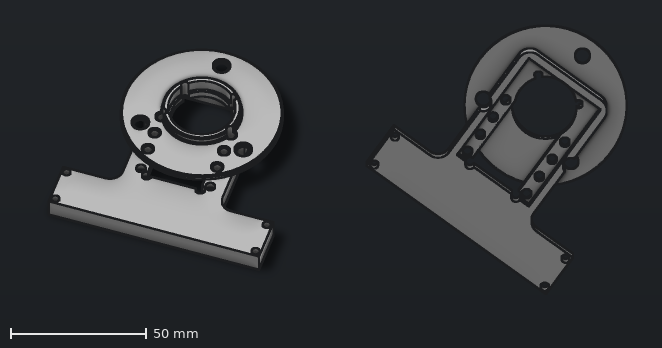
import cadquery as cq
import math

foot_width = 82.0
foot_front_y = -56.0
foot_depth = 17.0
neck_width = 38.9
neck_end_y = 15.05
plate_thickness = 8.0
corner_radius = 5.0
foot_back_y = foot_front_y + foot_depth

window_width = 21.0
window_front_y = -33.0
plate_bore_diameter = 22.9

pocket_wall = 3.0
web_thickness = 3.0
pocket_width = neck_width - 2 * pocket_wall
pocket_back_y = neck_end_y - pocket_wall
pocket_depth = plate_thickness - web_thickness

disc_diameter = 60.0
disc_thickness = 2.0
ring_diameter = 29.1
ring_height = 3.0
ring_bore_diameter = 24.9
edge_chamfer = 0.5
disc_top_z = plate_thickness + disc_thickness
total_height = disc_top_z + ring_height

foot_hole_diameter = 3.0
foot_hole_inset = 2.0
foot_hole_rows = (-54.0, -40.9)
small_diameter = 3.5
column_x = 13.5
first_row_y = -6.45
row_pitch = 8.0
disc_row_count = 3
bolt_diameter = 5.5
bolt_clearance_diameter = 6.0
bolt_circle_radius = 23.1
ear_x = 9.2
ear_y = 8.1
ear_diameter = 3.0


def cylinder(diameter, bottom_z, height):
    return cq.Workplane("XY").workplane(offset=bottom_z).circle(diameter / 2).extrude(height)


def drills(points, diameter, bottom_z, top_z):
    plane = cq.Workplane("XY").workplane(offset=bottom_z)
    return plane.pushPoints(points).circle(diameter / 2).extrude(top_z - bottom_z)


def countersinks(points, diameter):
    """Cones that break the hole edges on the top face of the disc."""
    plane = cq.Workplane("XY").workplane(offset=disc_top_z).pushPoints(points)
    cone = cq.Solid.makeCone(
        diameter / 2, diameter / 2 + edge_chamfer, edge_chamfer, cq.Vector(0, 0, -edge_chamfer)
    )
    return plane.eachpoint(lambda place: cone.moved(place), combine=False)


def make_plate():
    foot = cq.Workplane("XY").box(foot_width, foot_depth, plate_thickness, centered=(True, False, False))
    foot = foot.translate((0, foot_front_y, 0))
    neck_length = neck_end_y - foot_back_y
    neck = cq.Workplane("XY").box(neck_width, neck_length, plate_thickness, centered=(True, False, False))
    neck = neck.translate((0, foot_back_y, 0)).edges("|Z and >Y").fillet(corner_radius)
    plate = foot.union(neck)
    inner_corners = cq.selectors.BoxSelector(
        (-neck_width / 2 - 0.9, foot_back_y - 0.9, -0.9),
        (neck_width / 2 + 0.9, foot_back_y + 0.9, plate_thickness + 0.9),
    )
    plate = plate.edges("|Z").edges(inner_corners).fillet(corner_radius)
    window = cq.Workplane("XY").box(
        window_width, -window_front_y, plate_thickness, centered=(True, False, False)
    )
    plate = plate.cut(window.translate((0, window_front_y, 0)))
    pocket = cq.Workplane("XY").box(
        pocket_width, pocket_back_y - window_front_y, pocket_depth, centered=(True, False, False)
    )
    plate = plate.cut(pocket.translate((0, window_front_y, 0)))
    return plate.cut(cylinder(plate_bore_diameter, 0, plate_thickness))


def make_ring_foot():
    """Conical flare where the ring meets the disc."""
    ring_radius = ring_diameter / 2
    cone = cq.Solid.makeCone(ring_radius + edge_chamfer, ring_radius, edge_chamfer, cq.Vector(0, 0, disc_top_z))
    return cq.Workplane(cone)


def make_disc(small_holes, bolt_holes):
    """Disc with countersinks; the ring's solid wall runs down through the disc."""
    disc = cylinder(disc_diameter, plate_thickness, disc_thickness).faces(">Z").chamfer(edge_chamfer)
    disc = disc.cut(countersinks(small_holes, small_diameter))
    disc = disc.cut(countersinks(bolt_holes, bolt_diameter))
    wall_height = disc_thickness + ring_height
    ring = cylinder(ring_diameter, plate_thickness, wall_height).faces(">Z").chamfer(edge_chamfer)
    disc = disc.union(ring).union(make_ring_foot())
    return disc.cut(cylinder(ring_bore_diameter, plate_thickness, wall_height))


sides = (-1, 1)
foot_hole_x = foot_width / 2 - foot_hole_inset
foot_holes = [(side * foot_hole_x, y) for side in sides for y in foot_hole_rows]
row_ys = [first_row_y - row * row_pitch for row in range(disc_row_count + 1)]
column_holes = [(side * column_x, y) for side in sides for y in row_ys]
disc_column_holes = [(side * column_x, y) for side in sides for y in row_ys[:disc_row_count]]
window_reliefs = [(side * window_width / 2, window_front_y) for side in sides]
ears = [(side * ear_x, ear_y) for side in sides]
bolt_angles = [math.radians(angle) for angle in (90, 210, 330)]
bolts = [(bolt_circle_radius * math.cos(a), bolt_circle_radius * math.sin(a)) for a in bolt_angles]

result = make_plate().union(make_disc(disc_column_holes, bolts))
result = result.cut(drills(foot_holes, foot_hole_diameter, 0, plate_thickness))
result = result.cut(drills(window_reliefs, small_diameter, 0, plate_thickness))
result = result.cut(drills(column_holes, small_diameter, 0, total_height))
result = result.cut(drills(ears, ear_diameter, 0, total_height))
result = result.cut(drills(bolts, bolt_clearance_diameter, 0, plate_thickness))
result = result.cut(drills(bolts, bolt_diameter, plate_thickness, disc_top_z))